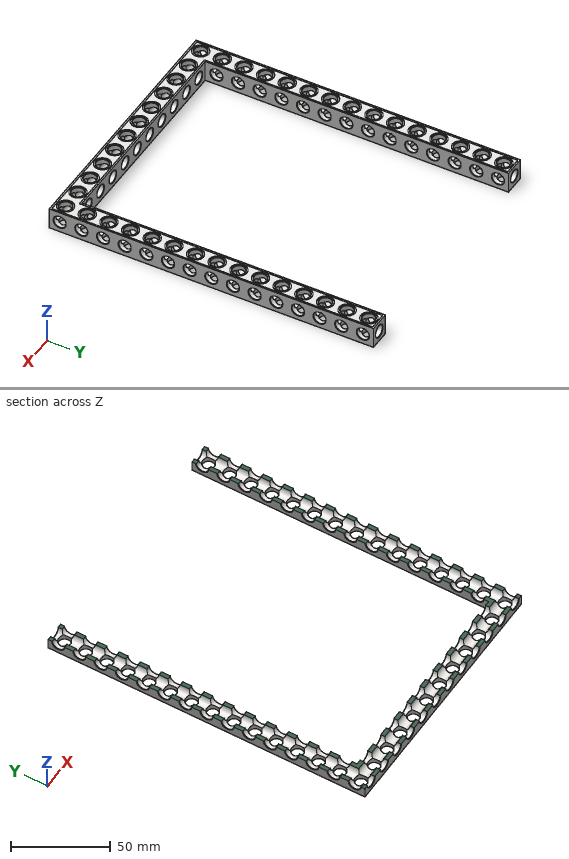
import cadquery as cq

cell = 12.5
holes_along_x = 12
holes_along_y = 15

bar_width = 12.2
hole_diameter = 7.0
hole_chamfer = 0.3
border = 1.0
collar_diameter = 9.2
recess_depth = 0.2

width = holes_along_x * cell
length = holes_along_y * cell
height = cell
half_bar = bar_width / 2
mid_height = height / 2
hole_radius = hole_diameter / 2


def hole_row(count, span):
    """Evenly spaced hole centres, the first and last on the centrelines of the end bars."""
    spacing = (span - bar_width) / (count - 1)
    return [half_bar + spacing * i for i in range(count)]


row_x = hole_row(holes_along_x, width)
row_y = hole_row(holes_along_y, length)
left_arm_x, right_arm_x = row_x[0], row_x[-1]
base_y = row_y[0]
base_holes = [(x, base_y) for x in row_x]
arm_holes = [(x, y) for x in (left_arm_x, right_arm_x) for y in row_y[1:]]
vertical_holes = base_holes + arm_holes


def u_prism(inset, bottom, thickness):
    """U-shaped prism between two arms and a base bar, with every side moved inward by the inset."""
    left, right = inset, width - inset
    front, back = inset, length - inset
    inner_left, inner_right = bar_width - inset, width - bar_width + inset
    inner_front = bar_width - inset
    outline = [
        (left, front),
        (right, front),
        (right, back),
        (inner_right, back),
        (inner_right, inner_front),
        (inner_left, inner_front),
        (inner_left, back),
        (left, back),
    ]
    return cq.Workplane("XY", origin=(0, 0, bottom)).polyline(outline).close().extrude(thickness)


def top_recess():
    """Shallow recess along the top face, leaving a border and a collar around each hole."""
    floor = height - recess_depth
    collars = (
        cq.Workplane("XY", origin=(0, 0, floor))
        .pushPoints(vertical_holes)
        .circle(collar_diameter / 2)
        .extrude(recess_depth)
    )
    return u_prism(border, floor, recess_depth).cut(collars)


def hole_cutters(start_point, direction, depth):
    """Solids that cut one through hole with a chamfer at both mouths."""
    start = cq.Vector(*start_point)
    axis = cq.Vector(*direction)
    end = start + axis * depth
    mouth_radius = hole_radius + hole_chamfer
    bore = cq.Solid.makeCylinder(hole_radius, depth, start, axis)
    near_mouth = cq.Solid.makeCone(mouth_radius, hole_radius, hole_chamfer, start, axis)
    far_mouth = cq.Solid.makeCone(mouth_radius, hole_radius, hole_chamfer, end, axis * -1)
    return [bore, near_mouth, far_mouth]


def vertical_cutters():
    """Holes along Z through the base bar and both arms."""
    cutters = []
    for x, y in vertical_holes:
        cutters += hole_cutters((x, y, 0), (0, 0, 1), height)
    return cutters


def cross_cutters():
    """Horizontal holes across the bars: along Y through the base, along X through each arm."""
    cutters = []
    for x in row_x[1:-1]:
        cutters += hole_cutters((x, 0, mid_height), (0, 1, 0), bar_width)
    for arm_left in (0, width - bar_width):
        for y in row_y[1:]:
            cutters += hole_cutters((arm_left, y, mid_height), (1, 0, 0), bar_width)
    return cutters


def lengthwise_cutters():
    """Passages along the full centreline of the base bar and of both arms."""
    cutters = hole_cutters((0, base_y, mid_height), (1, 0, 0), width)
    for x in (left_arm_x, right_arm_x):
        cutters += hole_cutters((x, 0, mid_height), (0, 1, 0), length)
    return cutters


frame = u_prism(0, 0, height).cut(top_recess())
holes = vertical_cutters() + cross_cutters() + lengthwise_cutters()
result = cq.Workplane(obj=frame.val().cut(*holes)).solids()